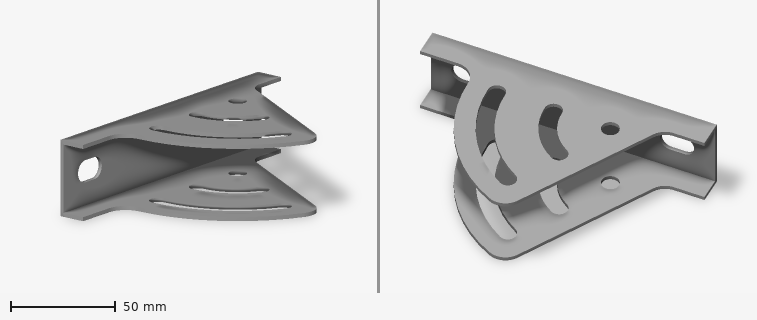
import cadquery as cq
import math

length = 150.0
height = 38.0
thickness = 2.0
flange_width = 14.0

corner_radius = 10.0
pivot_x = flange_width + corner_radius
pivot_y = 30.0
hole_diameter = 9.0
slot_width = hole_diameter
slot_radii = (30.0, 60.0)
start_angle = -90.0
end_angle = -30.0
sector_radius = 75.0
edge_offset = 15.0

mount_slot_length = 18.0
mount_slot_width = 11.0
mount_slot_spacing = 110.0

pivot = (pivot_x, pivot_y)


def polar(center, radius, angle):
    """Point at a radius and an angle in degrees around a center."""
    return (
        center[0] + radius * math.cos(math.radians(angle)),
        center[1] + radius * math.sin(math.radians(angle)),
    )


def arc_points(center, radius, first_angle, last_angle):
    """Start, middle and end point of an arc."""
    middle_angle = (first_angle + last_angle) / 2
    return [polar(center, radius, angle) for angle in (first_angle, middle_angle, last_angle)]


def make_flange():
    """Flange plate with its rounded sector, resting on Z = 0."""
    half_length = length / 2
    edge_normal = end_angle + 90.0

    lower_center = polar(pivot, sector_radius + corner_radius, start_angle)
    lower_root = arc_points(lower_center, corner_radius, 180.0, 90.0)

    tip_reach = sector_radius - corner_radius
    tip_angle = end_angle + math.degrees(math.asin((edge_offset - corner_radius) / tip_reach))
    tip_center = polar(pivot, tip_reach, tip_angle)
    tip = arc_points(tip_center, corner_radius, tip_angle, edge_normal)
    sector_arc = arc_points(pivot, sector_radius, start_angle, tip_angle)

    upper_rise = (edge_offset + corner_radius) / math.sin(math.radians(edge_normal))
    upper_center = (pivot_x, pivot_y + upper_rise)
    upper_root = arc_points(upper_center, corner_radius, edge_normal + 180.0, 180.0)

    return (
        cq.Workplane("XY")
        .moveTo(0, -half_length)
        .lineTo(flange_width, -half_length)
        .lineTo(*lower_root[0])
        .threePointArc(*lower_root[1:])
        .threePointArc(*sector_arc[1:])
        .threePointArc(*tip[1:])
        .lineTo(*upper_root[0])
        .threePointArc(*upper_root[1:])
        .lineTo(flange_width, half_length)
        .lineTo(0, half_length)
        .close()
        .extrude(thickness)
    )


def make_arc_slot(radius):
    """Cutter for a round-ended slot that follows an arc around the pivot."""
    outer_arc = arc_points(pivot, radius + slot_width / 2, start_angle, end_angle)
    inner_arc = arc_points(pivot, radius - slot_width / 2, end_angle, start_angle)
    end_cap = polar(polar(pivot, radius, end_angle), slot_width / 2, end_angle + 90.0)
    start_cap = polar(polar(pivot, radius, start_angle), slot_width / 2, start_angle - 90.0)
    return (
        cq.Workplane("XY")
        .moveTo(*outer_arc[0])
        .threePointArc(*outer_arc[1:])
        .threePointArc(end_cap, inner_arc[0])
        .threePointArc(*inner_arc[1:])
        .threePointArc(start_cap, outer_arc[0])
        .close()
        .extrude(thickness)
    )


def make_slotted_flange():
    """Flange with its pivot hole and arc slots."""
    flange = make_flange()
    flange = flange.cut(cq.Workplane("XY").center(*pivot).circle(hole_diameter / 2).extrude(thickness))
    for radius in slot_radii:
        flange = flange.cut(make_arc_slot(radius))
    return flange


def make_web():
    """Web with its two mounting slots, centered on Z = 0."""
    web = cq.Workplane("XY").box(thickness, length, height, centered=(False, True, True))
    slots = (
        cq.Workplane("YZ")
        .pushPoints([(-mount_slot_spacing / 2, 0), (mount_slot_spacing / 2, 0)])
        .slot2D(mount_slot_length, mount_slot_width)
        .extrude(thickness)
    )
    return web.cut(slots)


flange = make_slotted_flange()
lower_flange = flange.translate((0, 0, -height / 2))
upper_flange = flange.translate((0, 0, height / 2 - thickness))

result = make_web().union(lower_flange).union(upper_flange)